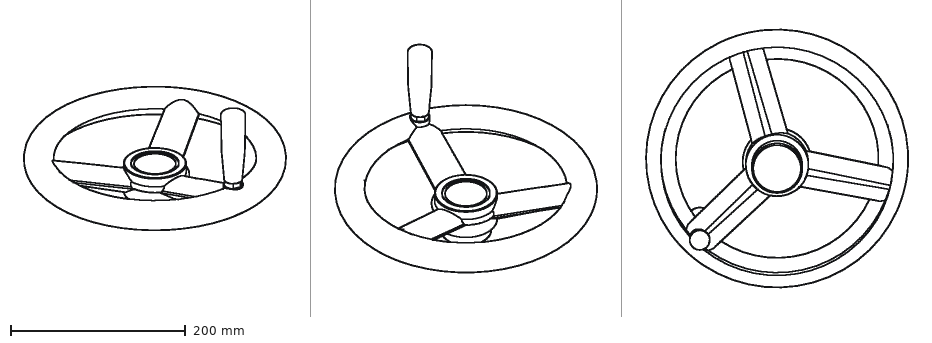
import cadquery as cq
import math


wheel_diameter = 300.0
rim_thickness = 34.2
rim_center_z = 60.5
rim_tube_radius = rim_thickness / 2
rim_center_radius = wheel_diameter / 2 - rim_tube_radius
rim_bottom_z = rim_center_z - rim_tube_radius
rim_top_z = rim_center_z + rim_tube_radius

hub_radius = 71.7 / 2
hub_bottom_z = 18.0
hub_top_z = 55.0
hub_top_chamfer = 1.0
spigot_radius = 58.0 / 2
spigot_chamfer = 1.8
recess_radius = 55.0 / 2
recess_depth = 1.8
cover_radius = 48.0 / 2
cover_height = 1.0
lip_radius = 3.5
lip_z = 40.0

spoke_count = 3
spoke_start = 24.0
spoke_end = rim_center_radius
spoke_edge_thickness = 2.7
spoke_inner_section = dict(half_width=21.3, keel_half_width=4.2, keel_z=19.8, edge_z=37.2, crown_z=47.0)
spoke_outer_section = dict(half_width=20.0, keel_half_width=2.5, keel_z=52.0, edge_z=65.0, crown_z=75.5)

grip_x = 127.5
grip_top_z = 170.7
grip_waist_z = 121.2
grip_bottom_z = 84.3
grip_top_radius = 14.0
grip_waist_radius = 13.5
grip_bottom_radius = 10.5
grip_rounding = 1.8
boss_radius = 11.5
neck_radius = 10.2
neck_flat_width = 18.0
neck_turn = -17.5


def make_rim():
    inner_radius = rim_center_radius - rim_tube_radius
    diagonal = rim_tube_radius * math.sqrt(0.5)
    arc_middle = (rim_center_radius + diagonal, rim_center_z + diagonal)
    profile = (
        cq.Workplane("XZ")
        .moveTo(inner_radius, rim_center_z)
        .threePointArc(arc_middle, (rim_center_radius, rim_bottom_z))
        .lineTo(rim_center_radius, rim_center_z)
        .close()
    )
    return profile.revolve(360, (0, 0), (0, 1))


def make_hub():
    spigot = cq.Workplane("XY").circle(spigot_radius).extrude(hub_bottom_z)
    spigot = spigot.faces("<Z").chamfer(spigot_chamfer)
    body = cq.Workplane("XY", origin=(0, 0, hub_bottom_z)).circle(hub_radius)
    body = body.extrude(hub_top_z - hub_bottom_z).faces(">Z").chamfer(hub_top_chamfer)
    recess_floor = cq.Workplane("XY", origin=(0, 0, hub_top_z - recess_depth))
    body = body.cut(recess_floor.circle(recess_radius).extrude(recess_depth))
    cover = recess_floor.circle(cover_radius).extrude(cover_height)
    lip = cq.Workplane("XZ").center(hub_radius, lip_z).circle(lip_radius)
    lip = lip.revolve(360, (-hub_radius, 0), (-hub_radius, 1))
    return spigot.union(body).union(cover).union(lip)


def add_section(plane, half_width, keel_half_width, keel_z, edge_z, crown_z):
    low_edge_z = edge_z - spoke_edge_thickness
    return (
        plane.moveTo(-keel_half_width, keel_z)
        .lineTo(keel_half_width, keel_z)
        .lineTo(half_width, low_edge_z)
        .lineTo(half_width, edge_z)
        .threePointArc((0, crown_z), (-half_width, edge_z))
        .lineTo(-half_width, low_edge_z)
        .close()
    )


def make_spoke():
    inner = add_section(cq.Workplane("YZ", origin=(spoke_start, 0, 0)), **spoke_inner_section)
    both = add_section(inner.workplane(offset=spoke_end - spoke_start), **spoke_outer_section)
    return both.loft(ruled=True)


def make_grip():
    boss = cq.Workplane("XY", origin=(grip_x, 0, rim_bottom_z))
    boss = boss.circle(boss_radius).extrude(rim_thickness)

    neck_length = grip_bottom_z - rim_top_z
    neck_base = cq.Workplane("XY", origin=(0, 0, rim_top_z))
    neck = neck_base.circle(neck_radius).extrude(neck_length)
    flats = neck_base.rect(neck_flat_width, 2 * neck_radius).extrude(neck_length)
    neck = neck.intersect(flats).rotate((0, 0, 0), (0, 0, 1), neck_turn)
    neck = neck.translate((grip_x, 0, 0))

    handle = (
        cq.Workplane("XZ")
        .moveTo(0, grip_bottom_z)
        .lineTo(grip_bottom_radius, grip_bottom_z)
        .lineTo(grip_waist_radius, grip_waist_z)
        .lineTo(grip_top_radius, grip_top_z)
        .lineTo(0, grip_top_z)
        .close()
        .revolve(360, (0, 0), (0, 1))
        .faces(">Z")
        .edges()
        .fillet(grip_rounding)
        .translate((grip_x, 0, 0))
    )
    return boss.union(neck).union(handle)


result = make_rim().union(make_hub())
spoke = make_spoke()
for index in range(spoke_count):
    angle = index * 360 / spoke_count
    result = result.union(spoke.rotate((0, 0, 0), (0, 0, 1), angle))
result = result.union(make_grip())